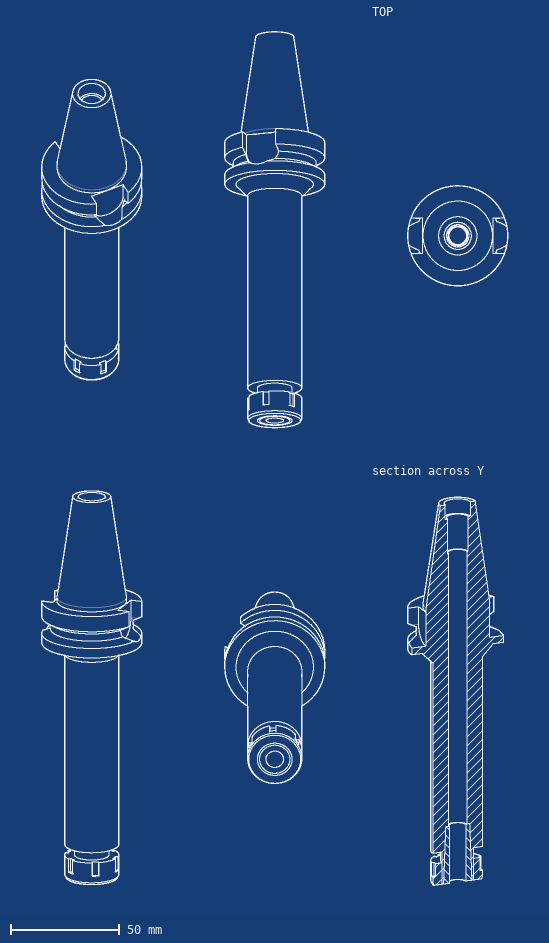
import cadquery as cq
import math

total_height = 183.4
nut_top = 10.6
barrel_bottom = 15.5
barrel_top = 107.5
flange_bottom = 113.0
lower_rim_top = 117.5
flange_top = 133.0
taper_bottom = 135.0

barrel_radius = 12.5
neck_diameter = 16.0
neck_radius = neck_diameter / 2
cone_top_radius = 17.8
flange_diameter = 46.0
flange_radius = flange_diameter / 2
gauge_radius = 16.0
taper_top_radius = 8.8
counterbore_radius = 6.2
counterbore_depth = 7.0
thread_radius = 5.1
thread_end_depth = 23.8
bore_radius = 4.5

groove_floor_radius = 19.0
groove_side_angle = 30
groove_floor_height = 3.5

key_slot_width = 16.1
key_slot_offset = 16.1
key_slot_bottom = 116.5

collet_front_radius = 7.0
collet_rear_radius = 5.9
collet_length = 27.5
collet_bore_radius = 4.0

nut_radius = barrel_radius
nut_chamfer_radial = 0.5
nut_chamfer_height = 1.1
nut_slot_count = 6
nut_slot_width = 3.0
nut_slot_floor_radius = 11.2
nut_slot_bottom = 4.2


def revolved(profile):
    """Solid of revolution about Z from (radius, height) points."""
    return cq.Workplane("XZ").polyline(profile).close().revolve(360, (0, 0, 0), (0, 1, 0))


def disc(radius, bottom, top):
    """Solid cylinder about Z between two heights."""
    return cq.Workplane("XY").workplane(offset=bottom).circle(radius).extrude(top - bottom)


def make_collet_blank():
    """Tapered collet without its bore; also the shape of the seat it fills."""
    return revolved([
        (0, 0),
        (collet_front_radius, 0),
        (collet_rear_radius, collet_length),
        (0, collet_length),
    ])


def make_key_slot():
    """Round-bottomed slot cutting inward from the +X side of the flange."""
    radius = key_slot_width / 2
    centre_height = key_slot_bottom + radius
    return (
        cq.Workplane("YZ")
        .workplane(offset=key_slot_offset)
        .moveTo(-radius, flange_top)
        .lineTo(-radius, centre_height)
        .threePointArc((0, key_slot_bottom), (radius, centre_height))
        .lineTo(radius, flange_top)
        .close()
        .extrude(flange_radius)
    )


def make_holder():
    """Spindle taper, flange, barrel and the neck that carries the nut."""
    groove_depth = flange_radius - groove_floor_radius
    groove_side_height = groove_depth * math.tan(math.radians(groove_side_angle))
    groove_bottom = lower_rim_top + groove_side_height
    groove_top = groove_bottom + groove_floor_height
    upper_rim_bottom = groove_top + groove_side_height
    body = revolved([
        (0, 0),
        (neck_radius, 0),
        (neck_radius, barrel_bottom),
        (barrel_radius, barrel_bottom),
        (barrel_radius, barrel_top),
        (cone_top_radius, flange_bottom),
        (flange_radius, flange_bottom),
        (flange_radius, lower_rim_top),
        (groove_floor_radius, groove_bottom),
        (groove_floor_radius, groove_top),
        (flange_radius, upper_rim_bottom),
        (flange_radius, flange_top),
        (gauge_radius, flange_top),
        (gauge_radius, taper_bottom),
        (taper_top_radius, total_height),
        (0, total_height),
    ])
    for angle in (0, 180):
        body = body.cut(make_key_slot().rotate((0, 0, 0), (0, 0, 1), angle))
    bore = disc(bore_radius, 0, total_height)
    thread_hole = disc(thread_radius, total_height - thread_end_depth, total_height)
    counterbore = disc(counterbore_radius, total_height - counterbore_depth, total_height)
    return body.cut(bore).cut(thread_hole).cut(counterbore).cut(make_collet_blank())


def make_collet():
    """Tapered sleeve that grips the tool shank."""
    return make_collet_blank().cut(disc(collet_bore_radius, 0, collet_length))


def make_nut():
    """Ring around the neck with wrench slots in its rim."""
    nut = revolved([
        (neck_radius, 0),
        (nut_radius - nut_chamfer_radial, 0),
        (nut_radius, nut_chamfer_height),
        (nut_radius, nut_top),
        (neck_radius, nut_top),
    ])
    slot_depth = nut_radius - nut_slot_floor_radius
    slot = cq.Workplane("XY").box(
        2 * slot_depth, nut_slot_width, nut_top - nut_slot_bottom, centered=(False, True, False)
    ).translate((nut_slot_floor_radius, 0, nut_slot_bottom))
    for index in range(nut_slot_count):
        nut = nut.cut(slot.rotate((0, 0, 0), (0, 0, 1), index * 360 / nut_slot_count))
    return nut


holder = make_holder()
collet = make_collet()
nut = make_nut()

result = cq.Compound.makeCompound([holder.val(), collet.val(), nut.val()])